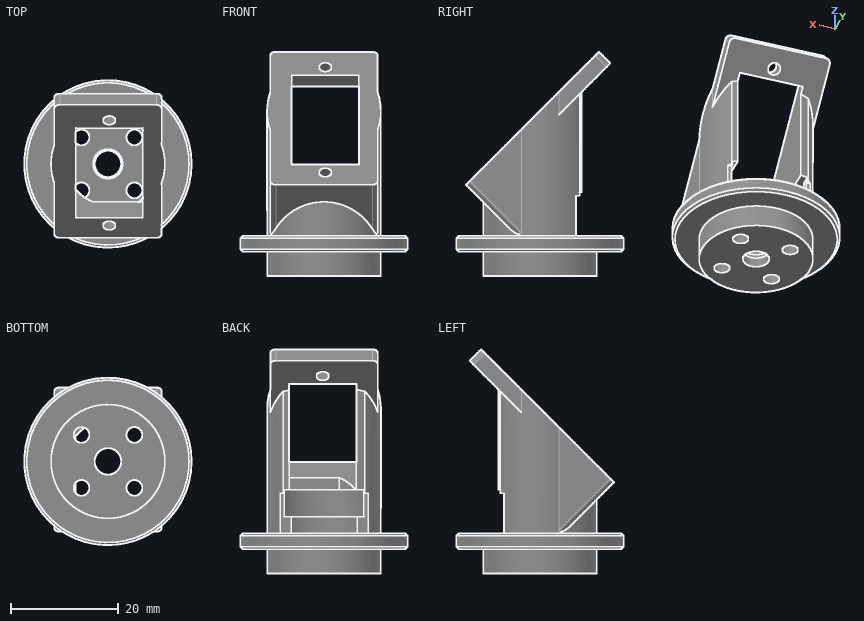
import cadquery as cq
import math

TUBE_RADIUS = 10.6
FLANGE_RADIUS = 15.6
FLANGE_BOTTOM = 4.5
FLANGE_THICKNESS = 3.0
FLANGE_TOP = FLANGE_BOTTOM + FLANGE_THICKNESS
FLANGE_CHAMFER = 0.5

TILT = 45.0
PLATE_WIDTH = 20.0
PLATE_LENGTH = 35.0
PLATE_THICKNESS = 3.0
PLATE_CORNER_RADIUS = 1.0
PLATE_CENTRE_Y = -1.4
PLATE_CENTRE_Z = 29.345
BLOCK_DEPTH = 30.0

WINDOW_WIDTH = 12.5
WINDOW_LENGTH = 23.5
WINDOW_OFFSET_X = 0.25
WINDOW_OFFSET_SLOPE = -0.4
SCREW_DIAMETER = 2.3
SCREW_PITCH = 27.7

BORE_RADIUS = 9.1
UPPER_BORE_RADIUS = 9.25
BORE_FLOOR = 3.0
BORE_STEP = 10.6
BORE_TOP = 15.6
CAVITY_FRONT_Y = -7.05
CAVITY_ARC_RADIUS = 7.6
CAVITY_TOP = 25.0

BACK_LOWER_Y = 6.72
BACK_UPPER_Y = 7.75
BACK_LIP_Z = 14.9
BACK_BEVEL_ANGLE = 13.0
BACK_SLOT_HALF_WIDTH = 7.4

CENTRE_HOLE_DIAMETER = 4.9
CENTRE_RECESS_DIAMETER = 5.5
CENTRE_RECESS_DEPTH = 1.0
FLOOR_HOLE_DIAMETER = 2.9
FLOOR_HOLE_PITCH = 9.85

REACH = 60.0

WINDOW_LEFT = WINDOW_OFFSET_X - WINDOW_WIDTH / 2
WINDOW_RIGHT = WINDOW_OFFSET_X + WINDOW_WIDTH / 2

FACE = cq.Plane(
    origin=(0, PLATE_CENTRE_Y, PLATE_CENTRE_Z),
    xDir=(1, 0, 0),
    normal=(0, -math.sin(math.radians(TILT)), math.cos(math.radians(TILT))),
)


def limits_box(x_min, x_max, y_min, y_max, z_min, z_max):
    """Box given by its limits along each axis."""
    size = (x_max - x_min, y_max - y_min, z_max - z_min)
    return cq.Workplane("XY").box(*size, centered=False).translate((x_min, y_min, z_min))


def plate_prism(depth):
    """Rounded plate outline carried from the face into the part."""
    return (
        cq.Workplane(FACE)
        .rect(PLATE_WIDTH, PLATE_LENGTH)
        .extrude(-depth)
        .edges("|(0,-1,1)")
        .fillet(PLATE_CORNER_RADIUS)
    )


def below_plate_face():
    """Everything behind the plane of the plate face."""
    return cq.Workplane(FACE).rect(2 * REACH, 2 * REACH).extrude(-REACH)


def back_cut():
    """Flattens the back of the tube, deeper below the lip than above it."""
    return (
        cq.Workplane("YZ")
        .moveTo(BACK_LOWER_Y, FLANGE_TOP)
        .lineTo(BACK_LOWER_Y, BACK_LIP_Z)
        .lineTo(BACK_UPPER_Y, BACK_LIP_Z)
        .lineTo(BACK_UPPER_Y, REACH)
        .lineTo(REACH, REACH)
        .lineTo(REACH, FLANGE_TOP)
        .close()
        .extrude(REACH, both=True)
    )


def back_bevels():
    """Slopes the upper back faces on both sides of the window down toward the tube wall."""
    bevel_drop = (TUBE_RADIUS + WINDOW_LEFT) * math.tan(math.radians(BACK_BEVEL_ANGLE))
    right = (
        cq.Workplane("XY", origin=(0, 0, BACK_LIP_Z))
        .moveTo(-WINDOW_LEFT, BACK_UPPER_Y)
        .lineTo(TUBE_RADIUS, BACK_UPPER_Y - bevel_drop)
        .lineTo(TUBE_RADIUS, BACK_UPPER_Y)
        .close()
        .extrude(REACH)
    )
    return right.union(right.mirror("YZ"))


def base():
    """Spigot and tube with a chamfered flange around them."""
    tube = cq.Workplane("XY").circle(TUBE_RADIUS).extrude(REACH)
    tube = tube.intersect(below_plate_face()).cut(back_cut()).cut(back_bevels())
    flange = (
        cq.Workplane("XY", origin=(0, 0, FLANGE_BOTTOM))
        .circle(FLANGE_RADIUS)
        .extrude(FLANGE_THICKNESS)
        .faces("<Z or >Z")
        .chamfer(FLANGE_CHAMFER)
    )
    return tube.union(flange)


def plate():
    """Tilted plate, with a solid block under the half that overhangs the front."""
    block_back_y = -math.sqrt(TUBE_RADIUS**2 - (PLATE_WIDTH / 2) ** 2)
    front_half = limits_box(-REACH, REACH, -REACH, block_back_y, 0, REACH)
    block = plate_prism(BLOCK_DEPTH).intersect(front_half)
    return plate_prism(PLATE_THICKNESS).union(block)


def window():
    """Rectangular window square to the plate, stopping at the top of the bore."""
    opening = (
        cq.Workplane(FACE)
        .center(WINDOW_OFFSET_X, WINDOW_OFFSET_SLOPE)
        .rect(WINDOW_WIDTH, WINDOW_LENGTH)
        .extrude(-REACH)
    )
    return opening.intersect(limits_box(-REACH, REACH, -REACH, REACH, BORE_TOP, REACH))


def cavity():
    """Upright cavity joining the window to the bore, with one curved front corner."""
    arc_start_x = -math.sqrt(CAVITY_ARC_RADIUS**2 - CAVITY_FRONT_Y**2)
    arc_end_y = -math.sqrt(CAVITY_ARC_RADIUS**2 - WINDOW_LEFT**2)
    arc_middle = math.atan2(CAVITY_FRONT_Y + arc_end_y, arc_start_x + WINDOW_LEFT)
    arc_point = (CAVITY_ARC_RADIUS * math.cos(arc_middle), CAVITY_ARC_RADIUS * math.sin(arc_middle))
    return (
        cq.Workplane("XY", origin=(0, 0, BORE_TOP))
        .moveTo(WINDOW_RIGHT, TUBE_RADIUS)
        .lineTo(WINDOW_RIGHT, CAVITY_FRONT_Y)
        .lineTo(arc_start_x, CAVITY_FRONT_Y)
        .threePointArc(arc_point, (WINDOW_LEFT, arc_end_y))
        .lineTo(WINDOW_LEFT, TUBE_RADIUS)
        .close()
        .extrude(CAVITY_TOP - BORE_TOP)
    )


def bore():
    """Bore with a slightly wider upper part, which opens through the back as a slot."""
    lower = cq.Workplane("XY", origin=(0, 0, BORE_FLOOR)).circle(BORE_RADIUS).extrude(BORE_TOP - BORE_FLOOR)
    upper = (
        cq.Workplane("XY", origin=(0, 0, BORE_STEP))
        .circle(UPPER_BORE_RADIUS)
        .extrude(BORE_TOP - BORE_STEP)
    )
    slot = limits_box(-BACK_SLOT_HALF_WIDTH, BACK_SLOT_HALF_WIDTH, 0, TUBE_RADIUS, BORE_STEP, BORE_TOP)
    return lower.union(upper).union(slot)


def floor_holes():
    """Recessed centre hole and four holes around it."""
    recess_bottom = BORE_FLOOR - CENTRE_RECESS_DEPTH
    centre = cq.Workplane("XY").circle(CENTRE_HOLE_DIAMETER / 2).extrude(BORE_FLOOR)
    recess = (
        cq.Workplane("XY", origin=(0, 0, recess_bottom))
        .circle(CENTRE_RECESS_DIAMETER / 2)
        .extrude(CENTRE_RECESS_DEPTH)
    )
    corners = (
        cq.Workplane("XY")
        .rect(FLOOR_HOLE_PITCH, FLOOR_HOLE_PITCH, forConstruction=True)
        .vertices()
        .circle(FLOOR_HOLE_DIAMETER / 2)
        .extrude(BORE_FLOOR)
    )
    return centre.union(recess).union(corners)


def screw_holes():
    """Screw holes beyond each end of the window, as deep as the plate."""
    return (
        cq.Workplane(FACE)
        .center(WINDOW_OFFSET_X, WINDOW_OFFSET_SLOPE)
        .pushPoints([(0, -SCREW_PITCH / 2), (0, SCREW_PITCH / 2)])
        .circle(SCREW_DIAMETER / 2)
        .extrude(-PLATE_THICKNESS)
    )


result = base().union(plate())
for tool in (window(), cavity(), bore(), floor_holes(), screw_holes()):
    result = result.cut(tool)